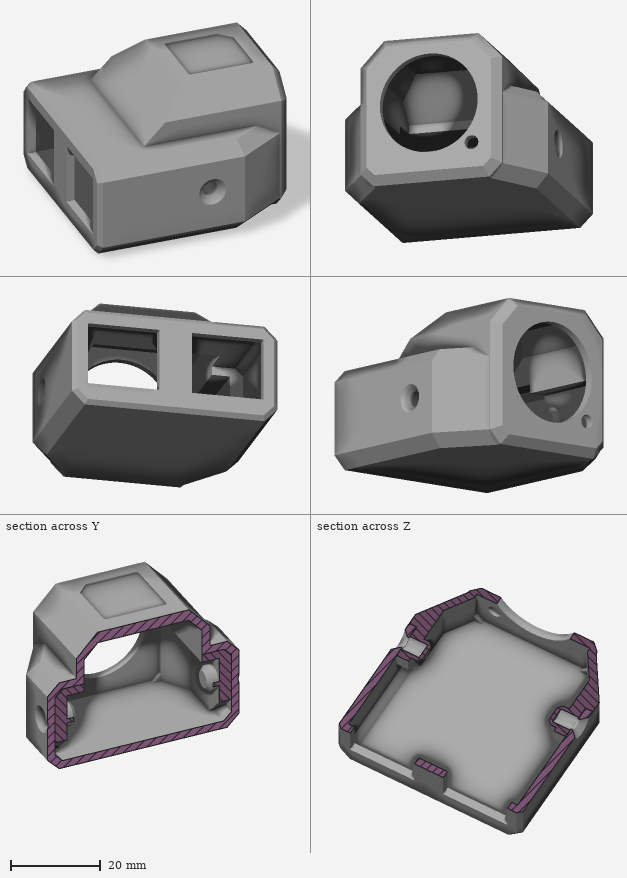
import cadquery as cq
import math

WIDTH = 47.4
LENGTH = 48.5
HEIGHT = 33.5
WALL = 2.0

BOX_HEIGHT = 22.5
BOX_EDGE_CHAMFER = 3.0
FRONT_CHAMFER = 1.0
TAPER_START_Y = 35.0
TAPER_END_Y = 46.05

TOWER_WIDTH = 33.0
TOWER_CHAMFER_X = 5.5
TOWER_CHAMFER_Z = 5.85
TOWER_FRONT_Y = 13.55
REAR_CHAMFER = 2.0

BOX_SPLIT_Y = 32.25
TOWER_SPLIT_Y = 25.25

WINDOW_INNER_X = 3.75
WINDOW_OUTER_X = 20.2
WINDOW_BOTTOM_Z = 4.75
WINDOW_TOP_Z = 19.0

BUTTON_DIAMETER = 22.8
BUTTON_Z = 17.7
CABLE_DIAMETER = 3.2
CABLE_X = -9.95
CABLE_Z = 7.7

SCREW_Y = BOX_SPLIT_Y - 5.0
SCREW_Z = 12.0
SCREW_DIAMETER = 3.4
COUNTERSINK_DIAMETER = 6.4
INSERT_DIAMETER = 4.1
BOSS_WALL = 1.0
BOSS_LENGTH = 2.5
TONGUE_THICKNESS = 3.0
TONGUE_MARGIN = 4.0

BADGE_SIZE = 15.5
BADGE_DEPTH = 0.5
BADGE_CENTRE_Y = 35.6
BADGE_CUT_CORNER = 2.7
BADGE_CORNER_RADIUS = 0.6

HALF_WIDTH = WIDTH / 2
HALF_TOWER = TOWER_WIDTH / 2
CAVITY_HALF = HALF_WIDTH - WALL
CAVITY_TOP = BOX_HEIGHT - WALL
CAVITY_CHAMFER = BOX_EDGE_CHAMFER - WALL * (2 - math.sqrt(2))
TONGUE_HALF = CAVITY_HALF - TONGUE_THICKNESS
TONGUE_FRONT_Y = SCREW_Y - TONGUE_MARGIN
POCKET_TOP = CAVITY_TOP - WALL
TOWER_CAVITY_HALF = HALF_TOWER - WALL


def block(x_range, y_range, z_range):
    """Box between the given limits along each axis."""
    (x0, x1), (y0, y1), (z0, z1) = x_range, y_range, z_range
    return cq.Workplane("XY").box(x1 - x0, y1 - y0, z1 - z0, centered=False).translate((x0, y0, z0))


def cylinder_y(diameter, x, z):
    """Cylinder through the rear wall, along Y."""
    start = cq.Workplane("XZ", origin=(x, LENGTH - WALL, z))
    return start.circle(diameter / 2).extrude(-WALL)


def cylinder_x(diameter, x, length):
    """Cylinder on the screw axis of the +X side, running from x toward the middle."""
    return cq.Workplane("YZ", origin=(x, SCREW_Y, SCREW_Z)).circle(diameter / 2).extrude(-length)


def both_sides(body):
    """The +X shape together with its mirror image on the -X side."""
    return body.union(body.mirror("YZ"))


def outer_box():
    """Low box with tapered rear flanks and bevelled edges."""
    outline = [
        (-HALF_WIDTH, 0),
        (HALF_WIDTH, 0),
        (HALF_WIDTH, TAPER_START_Y),
        (HALF_TOWER, TAPER_END_Y),
        (-HALF_TOWER, TAPER_END_Y),
        (-HALF_WIDTH, TAPER_START_Y),
    ]
    body = cq.Workplane("XY").polyline(outline).close().extrude(BOX_HEIGHT)
    body = body.faces("<Z or >Z").edges("not |X").chamfer(BOX_EDGE_CHAMFER)
    return body.faces("<Y").edges().chamfer(FRONT_CHAMFER)


def tower(inset):
    """Full-height tower with a 45 degree front slope, with every wall moved inward by the inset."""
    half_top = HALF_TOWER - TOWER_CHAMFER_X
    half_base = HALF_TOWER - BOX_EDGE_CHAMFER
    section = [
        (-half_base, 0),
        (half_base, 0),
        (HALF_TOWER, BOX_EDGE_CHAMFER),
        (HALF_TOWER, HEIGHT - TOWER_CHAMFER_Z),
        (half_top, HEIGHT),
        (-half_top, HEIGHT),
        (-HALF_TOWER, HEIGHT - TOWER_CHAMFER_Z),
        (-HALF_TOWER, BOX_EDGE_CHAMFER),
    ]
    front_y = TOWER_FRONT_Y + inset * math.sqrt(2)
    rear_y = LENGTH - inset
    side = [
        (front_y, 0),
        (front_y, BOX_HEIGHT),
        (front_y + HEIGHT - BOX_HEIGHT, HEIGHT),
        (rear_y, HEIGHT),
        (rear_y, 0),
    ]
    column = cq.Workplane("XZ").polyline(section).close()
    if inset:
        column = column.offset2D(-inset)
    column = column.extrude(-LENGTH)
    return column.intersect(cq.Workplane("YZ").polyline(side).close().extrude(HALF_TOWER, both=True))


def outer_shape():
    """Outside of both shells together."""
    column = tower(0).faces(">Y").edges().chamfer(REAR_CHAMFER)
    return outer_box().union(column)


def cavity_bar(start_y, end_y):
    """Bar with the bevelled cross-section of the box cavity."""
    bar = block((-CAVITY_HALF, CAVITY_HALF), (start_y, end_y), (WALL, CAVITY_TOP))
    return bar.edges("|Y").chamfer(CAVITY_CHAMFER)


def front_region():
    """Space in front of the stepped parting line."""
    low = block((-HALF_WIDTH, HALF_WIDTH), (0, BOX_SPLIT_Y), (0, BOX_HEIGHT))
    high = block((-HALF_WIDTH, HALF_WIDTH), (0, TOWER_SPLIT_Y), (BOX_HEIGHT, HEIGHT))
    return low.union(high)


def windows():
    """Pair of rectangular openings through the front wall."""
    return both_sides(block((WINDOW_INNER_X, WINDOW_OUTER_X), (0, WALL), (WINDOW_BOTTOM_Z, WINDOW_TOP_Z)))


def screw_holes():
    """Countersunk clearance holes through the side walls."""
    sink_depth = (COUNTERSINK_DIAMETER - SCREW_DIAMETER) / 2
    mouth = cq.Vector(HALF_WIDTH, SCREW_Y, SCREW_Z)
    sink = cq.Solid.makeCone(
        COUNTERSINK_DIAMETER / 2, SCREW_DIAMETER / 2, sink_depth, mouth, cq.Vector(-1, 0, 0)
    )
    return both_sides(cylinder_x(SCREW_DIAMETER, HALF_WIDTH, WALL).union(cq.Workplane(sink)))


def rear_pocket():
    """Straight pocket inside the tongue, then flanks that run parallel to the outer taper."""
    run_x = HALF_WIDTH - HALF_TOWER
    run_y = TAPER_END_Y - TAPER_START_Y
    taper_shift_y = WALL * math.hypot(run_x, run_y) / run_x

    def flank_y(x):
        return TAPER_START_Y - taper_shift_y + (HALF_WIDTH - x) * run_y / run_x

    outline = [
        (TONGUE_HALF, TONGUE_FRONT_Y),
        (TONGUE_HALF, flank_y(TONGUE_HALF)),
        (TOWER_CAVITY_HALF, flank_y(TOWER_CAVITY_HALF)),
        (-TOWER_CAVITY_HALF, flank_y(TOWER_CAVITY_HALF)),
        (-TONGUE_HALF, flank_y(TONGUE_HALF)),
        (-TONGUE_HALF, TONGUE_FRONT_Y),
    ]
    floor = cq.Workplane("XY", origin=(0, 0, WALL))
    return floor.polyline(outline).close().extrude(POCKET_TOP - WALL)


def tongue():
    """Frame that plugs into the front shell, with the lower front corner cut back at 45 degrees."""
    cut_height = SCREW_Z - TONGUE_MARGIN - WALL
    cut = [
        (TONGUE_FRONT_Y, WALL),
        (TONGUE_FRONT_Y, WALL + cut_height),
        (TONGUE_FRONT_Y + cut_height, WALL),
    ]
    corner = cq.Workplane("YZ").polyline(cut).close().extrude(HALF_WIDTH, both=True)
    return cavity_bar(TONGUE_FRONT_Y, BOX_SPLIT_Y).cut(corner)


def insert_bosses():
    """Bevelled bosses on the inner faces of the tongue."""
    boss = cylinder_x(INSERT_DIAMETER + 2 * BOSS_WALL, TONGUE_HALF, BOSS_LENGTH)
    return both_sides(boss.faces("<X").chamfer(BOSS_WALL))


def insert_holes():
    """Blind holes through the tongue into the bosses."""
    return both_sides(cylinder_x(INSERT_DIAMETER, CAVITY_HALF, TONGUE_THICKNESS + BOSS_LENGTH - BOSS_WALL))


def badge_recess():
    """Square recess with one cut corner and small rounds on the other three."""
    half = BADGE_SIZE / 2
    plate = block(
        (-half, half),
        (BADGE_CENTRE_Y - half, BADGE_CENTRE_Y + half),
        (HEIGHT - BADGE_DEPTH, HEIGHT),
    )
    plate = plate.edges("|Z and (>X or <Y)").fillet(BADGE_CORNER_RADIUS)
    return plate.edges("|Z and <X and >Y").chamfer(BADGE_CUT_CORNER)


outside = outer_shape()
tower_cavity = tower(WALL)

front_shell = outside.intersect(front_region())
front_shell = front_shell.cut(cavity_bar(WALL, BOX_SPLIT_Y)).cut(tower_cavity)
front_shell = front_shell.cut(windows()).cut(screw_holes())

rear_shell = outside.cut(front_region()).union(tongue())
rear_shell = rear_shell.cut(rear_pocket()).cut(tower_cavity)
rear_shell = rear_shell.union(insert_bosses()).cut(insert_holes())
rear_shell = rear_shell.cut(cylinder_y(BUTTON_DIAMETER, 0, BUTTON_Z))
rear_shell = rear_shell.cut(cylinder_y(CABLE_DIAMETER, CABLE_X, CABLE_Z))
rear_shell = rear_shell.cut(badge_recess())

result = cq.Compound.makeCompound([front_shell.val(), rear_shell.val()])